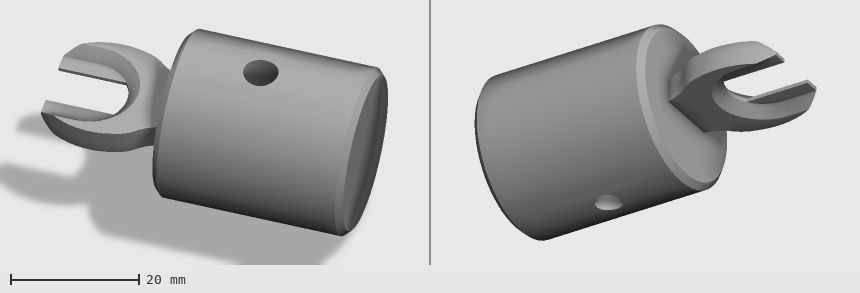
import cadquery as cq
import math

length = 51.0
body_start = 20.0
body_radius = 13.49
body_chamfer = 1.0

hole_x = 33.95
hole_diameter = 4.5
wide_hole_diameter = 5.5

fork_thickness = 4.2
web_thickness = 0.6
fork_embed = 1.0
slot_half_width = 3.5

seat_center_x = 6.0
seat_outer_radius = 7.95
seat_bevel = (fork_thickness - web_thickness) / 2
seat_inner_radius = seat_outer_radius - seat_bevel

prong_peak_x = 8.85
prong_peak_y = 9.6
shoulder_start_x = 12.75
shoulder_end = (15.55, 7.7)
neck_half_width = 5.4
neck_sag = 0.35
shoulder_sag = 0.18

prong_rise = prong_peak_y - seat_inner_radius
prong_radius = (prong_peak_x**2 + prong_rise**2) / (2 * prong_rise)


def prong_y(x):
    """Half width of the fork along the prong arc."""
    drop = prong_radius - math.sqrt(prong_radius**2 - (x - prong_peak_x) ** 2)
    return prong_peak_y - drop


def make_body():
    return (
        cq.Workplane("YZ")
        .workplane(offset=body_start)
        .circle(body_radius)
        .extrude(length - body_start)
        .edges("%CIRCLE")
        .chamfer(body_chamfer)
    )


def make_half_fork():
    """The +Y half of the fork plate, before the seat is cut."""
    return (
        cq.Workplane("XY")
        .workplane(offset=-fork_thickness / 2)
        .lineTo(0, seat_inner_radius)
        .threePointArc(
            (prong_peak_x, prong_peak_y),
            (shoulder_start_x, prong_y(shoulder_start_x)),
        )
        .sagittaArc(shoulder_end, shoulder_sag)
        .sagittaArc((body_start, neck_half_width), -neck_sag)
        .lineTo(body_start + fork_embed, neck_half_width)
        .lineTo(body_start + fork_embed, 0)
        .close()
        .extrude(fork_thickness)
    )


def make_seat_opening():
    """U-shaped prism through the full fork thickness, following the inner edge of the seat."""
    return (
        cq.Workplane("XY")
        .workplane(offset=-fork_thickness / 2)
        .moveTo(0, -seat_inner_radius)
        .lineTo(seat_center_x, -seat_inner_radius)
        .threePointArc((seat_center_x + seat_inner_radius, 0), (seat_center_x, seat_inner_radius))
        .lineTo(0, seat_inner_radius)
        .close()
        .extrude(fork_thickness)
    )


def make_seat_recess():
    """Bevelled recess in the top face: half a cone plus a straight channel out to the tip."""
    half_web = web_thickness / 2
    half_plate = fork_thickness / 2
    cone = (
        cq.Workplane("XZ")
        .moveTo(0, half_web)
        .lineTo(seat_inner_radius, half_web)
        .lineTo(seat_outer_radius, half_plate)
        .lineTo(0, half_plate)
        .close()
        .revolve(180, (0, 0, 0), (0, 1, 0))
        .rotate((0, 0, 0), (0, 0, 1), -90)
        .translate((seat_center_x, 0, 0))
    )
    channel = (
        cq.Workplane("YZ")
        .moveTo(-seat_inner_radius, half_web)
        .lineTo(seat_inner_radius, half_web)
        .lineTo(seat_outer_radius, half_plate)
        .lineTo(-seat_outer_radius, half_plate)
        .close()
        .extrude(seat_center_x)
    )
    return cone.union(channel)


def make_fork():
    half = make_half_fork()
    fork = half.union(half.mirror("XZ"))
    recess = make_seat_recess()
    fork = fork.cut(recess).cut(recess.mirror("XY"))
    slot_band = cq.Workplane("XY").box(length, 2 * slot_half_width, fork_thickness)
    return fork.cut(make_seat_opening().intersect(slot_band))


def make_cross_hole():
    """Vertical through hole, widened from the top down to the body axis."""
    center_plane = cq.Workplane("XY").center(hole_x, 0)
    wide_part = center_plane.circle(wide_hole_diameter / 2).extrude(body_radius)
    narrow_part = center_plane.circle(hole_diameter / 2).extrude(-body_radius)
    return wide_part.union(narrow_part)


result = make_body().union(make_fork()).cut(make_cross_hole())